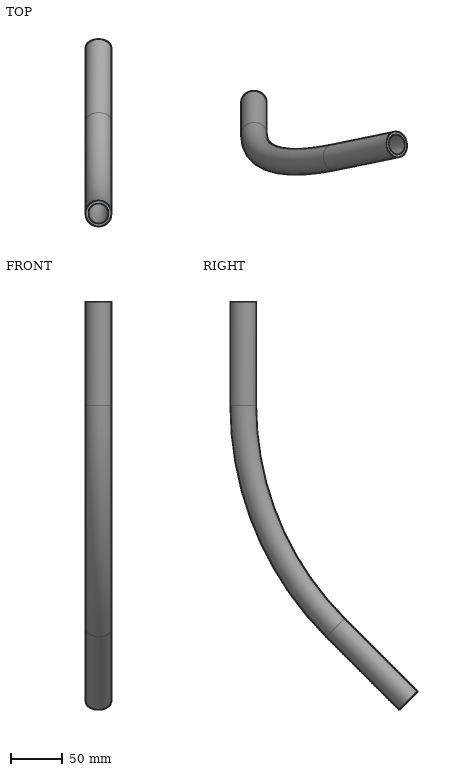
import cadquery as cq
import math

total_height = 398.0
outer_diameter = 25.5
bore_diameter = 19.5
straight_length = 101.0
bend_angle = 45.0

outer_radius = outer_diameter / 2
bend_sin = math.sin(math.radians(bend_angle))
bend_cos = math.cos(math.radians(bend_angle))

end_drop = straight_length * bend_cos + outer_radius * bend_sin
bend_radius = (total_height - straight_length - end_drop) / bend_sin


def bend_point(angle):
    """Centreline point (Y, Z) at an angle in degrees along the bend, which starts at the origin."""
    turn = math.radians(angle)
    return (bend_radius * (1 - math.cos(turn)), -bend_radius * math.sin(turn))


bend_end = bend_point(bend_angle)
lower_end = (
    bend_end[0] + straight_length * bend_sin,
    bend_end[1] - straight_length * bend_cos,
)
centreline = (
    cq.Workplane("YZ")
    .moveTo(0, straight_length)
    .lineTo(0, 0)
    .threePointArc(bend_point(bend_angle / 2), bend_end)
    .lineTo(*lower_end)
)

result = (
    cq.Workplane("XY", origin=(0, 0, straight_length))
    .circle(outer_radius)
    .circle(bore_diameter / 2)
    .sweep(centreline)
)